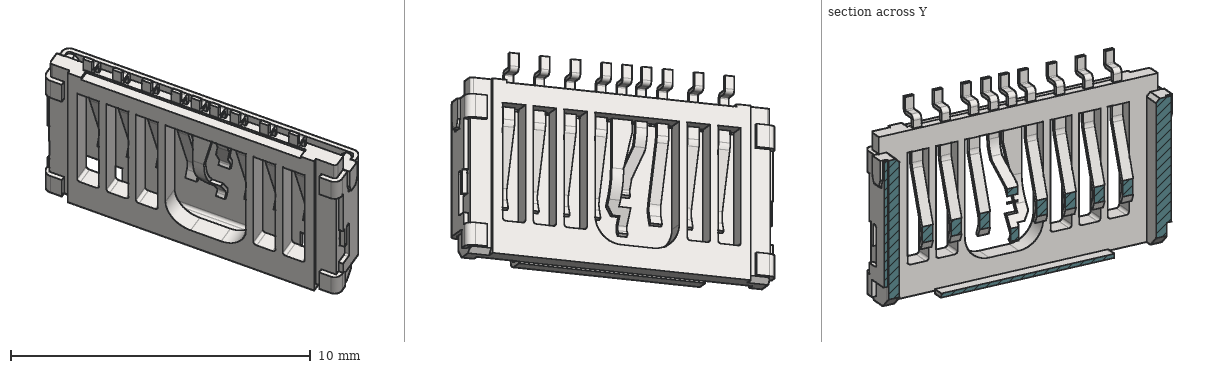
import cadquery as cq
import math


OVERALL_WIDTH = 11.24
OVERALL_DEPTH = 1.7
OVERALL_HEIGHT = 7.0

SHEET = 0.17
SHELL_WIDTH = 11.08
SHELL_INNER_BACK_Y = OVERALL_DEPTH - SHEET
SHELL_TOP = 5.44
SHELL_WALL_BOTTOM = 0.84
SHELL_INNER_RADIUS = 0.11
SHELL_OUTER_RADIUS = SHELL_INNER_RADIUS + SHEET
CLIP_INNER_X = 4.82
UPPER_CLIP_BOTTOM = 4.64
LOWER_CLIP_TOP = 0.98
LOWER_CLIP_BOTTOM = 0.2
LOWER_CLIP_DEPTH = 0.53
WALL_FRONT_Y = 0.35
LIP_WIDTH = 6.68
LIP_FRONT_Y = 0.92

LATCH_BACK_Y = 0.81
LATCH_BOTTOM = 1.39
LATCH_TOP = 2.91
TONGUE_FRONT_Y = 0.46
TONGUE_BACK_Y = 0.61
TONGUE_TIP = 2.09
LATCH_CORNER_RADIUS = 0.07
TONGUE_POCKET_FRONT_Y = 0.44
TONGUE_POCKET_DEPTH = 0.17

HOUSING_WIDTH = SHELL_WIDTH - 2 * SHEET
HOUSING_HEIGHT = 6.06
FLOOR_FRONT_Y = 0.03
FLOOR_BACK_Y = 0.71
PAD_WIDTH = 9.24
CLIP_SEAT_BEVEL = 0.2
TOP_STEP_WIDTH = 8.23
TOP_STEP_BACK_Y = 0.4
TOP_STEP_DEPTH = 0.09
RAIL_BACK_Y = 1.46
RAIL_INNER_X = 4.93
RAIL_CORNER_RADIUS = 0.21
RAIL_END_CHAMFER = 0.5
RAIL_LEAD_IN = 0.15

EAR_FRONT_Y = 0.7
EAR_BACK_Y = 1.23
EAR_TAPER_TOP = 4.72
EAR_BOTTOM = 4.46
EAR_TAPER = 0.1
EAR_ROOT = 0.11
EAR_SIDE_GAP = 0.02
EAR_END_GAP = 0.06

PITCH = 1.1
PLACE_COUNT = 8
WINDOW_TOP = 5.25
SLOT_WIDTH = 0.82
SLOT_BOTTOM = 1.16
SLOT_CORNER_RADIUS = 0.11
CENTRE_WINDOW_WIDTH = 3.01
CENTRE_WINDOW_BOTTOM = 0.75
CENTRE_WINDOW_RADIUS = 0.93

STRIP = 0.13
STRIP_Y = 0.57
ROOT_Z = 5.62
CONTACT_WIDTH = 0.42
LEAD_WIDTH = 0.33
LEAD_STEP_Z = 6.45
LEAD_BEND_RADIUS = 0.1
CONTACT_BEND_RADIUS = 0.65
CONTACT_BEND_Z = 4.72

CONTACT_CREST = (1.37, 2.44)
CONTACT_TIP = (1.17, 1.91)

DETECT_LEAD_X = 0.19
DETECT_BEND_Z = 3.01
DETECT_CREST = (1.42, 1.7)
DETECT_TIP = (1.25, 1.46)
DETECT_BEND_RADII = [1.8, 0.22]
DETECT_BLANK_WIDTH = 1.12

SWITCH_LEAD_X = 0.89
SWITCH_CREST = (1.46, 3.03)
SWITCH_TIP = (1.36, 2.84)
SWITCH_BEND_RADII = [1.29, 0.17]
SWITCH_BLANK_WIDTH = 1.35

PLACE_X = [(place - (PLACE_COUNT - 1) / 2) * PITCH for place in range(PLACE_COUNT)]
CONTACT_X = PLACE_X[:4] + PLACE_X[5:]
SLOT_X = PLACE_X[:3] + PLACE_X[6:]
CENTRE_WINDOW_X = PLACE_X[4]


def block(x_range, y_range, z_range):
    """Box from its lower and upper limit along each axis."""
    size = [hi - lo for lo, hi in (x_range, y_range, z_range)]
    corner = (x_range[0], y_range[0], z_range[0])
    return cq.Workplane("XY").box(*size, centered=False).translate(corner)


def wide_block(width, y_range, z_range):
    """Box centred on X = 0."""
    return block((-width / 2, width / 2), y_range, z_range)


def side_prism(points, width):
    """Prism with a (Y, Z) outline, centred on X = 0."""
    return cq.Workplane("YZ").polyline(points).close().extrude(width / 2, both=True)


def front_prism(points):
    """Prism with an (X, Z) outline, running through the whole depth."""
    return cq.Workplane("XZ").polyline(points).close().extrude(-OVERALL_DEPTH)


def bent_strip(points, radii, x, width):
    """Strip of metal along a (Y, Z) centreline with one bend radius per inner point."""
    path = cq.Workplane("YZ", origin=(x, 0, 0)).moveTo(*points[0])
    for before, corner, after, radius in zip(points, points[1:], points[2:], radii):
        heading_in = math.atan2(corner[1] - before[1], corner[0] - before[0])
        heading_out = math.atan2(after[1] - corner[1], after[0] - corner[0])
        turn = math.remainder(heading_out - heading_in, 2 * math.pi)
        reach = radius * math.tan(abs(turn) / 2)
        bend_start = (corner[0] - reach * math.cos(heading_in), corner[1] - reach * math.sin(heading_in))
        bend_end = (corner[0] + reach * math.cos(heading_out), corner[1] + reach * math.sin(heading_out))
        path = path.lineTo(*bend_start).tangentArcPoint(bend_end, relative=False)
    path = path.lineTo(*points[-1])
    section = cq.Workplane("XY", origin=(x, points[0][0], points[0][1])).rect(width, STRIP)
    return section.sweep(path)


def make_rails():
    """Side rails behind the floor, bevelled at the lip end and opened at the top."""
    rails = wide_block(HOUSING_WIDTH, (FLOOR_FRONT_Y, RAIL_BACK_Y), (0, SHELL_TOP))
    rails = rails.edges("|Z and >Y").fillet(RAIL_CORNER_RADIUS)
    bevel = [
        (RAIL_BACK_Y - RAIL_END_CHAMFER, 0),
        (RAIL_BACK_Y, RAIL_END_CHAMFER),
        (RAIL_BACK_Y, 0),
    ]
    rails = rails.cut(side_prism(bevel, HOUSING_WIDTH))
    lead_in_start = SHELL_TOP - RAIL_LEAD_IN
    channel = [
        (-RAIL_INNER_X, 0),
        (-RAIL_INNER_X, lead_in_start),
        (-RAIL_INNER_X - RAIL_LEAD_IN, SHELL_TOP),
        (RAIL_INNER_X + RAIL_LEAD_IN, SHELL_TOP),
        (RAIL_INNER_X, lead_in_start),
        (RAIL_INNER_X, 0),
    ]
    return rails.cut(front_prism(channel))


def ear_outline(side_gap, end_gap):
    """Tapered (Y, Z) outline of an ear, grown by a clearance."""
    front = EAR_FRONT_Y - side_gap
    back = EAR_BACK_Y + side_gap
    bottom = EAR_BOTTOM - end_gap
    return [
        (front, SHELL_TOP),
        (front, EAR_TAPER_TOP),
        (front + EAR_TAPER, bottom),
        (back - EAR_TAPER, bottom),
        (back, EAR_TAPER_TOP),
        (back, SHELL_TOP),
    ]


def make_ears():
    ears = side_prism(ear_outline(0, 0), OVERALL_WIDTH)
    return ears.cut(wide_block(HOUSING_WIDTH - 2 * EAR_ROOT, (0, OVERALL_DEPTH), (0, SHELL_TOP)))


def window_cutter(x, width, bottom, radius):
    """Floor window with rounded lower corners."""
    cutter = block((x - width / 2, x + width / 2), (0, FLOOR_BACK_Y), (bottom, WINDOW_TOP))
    return cutter.edges("|Y and <Z").fillet(radius)


def tongue_pocket_cutter():
    """Pocket in both housing sides that gives the shell tongues room to flex."""
    y_range = (TONGUE_POCKET_FRONT_Y, LATCH_BACK_Y)
    z_range = (TONGUE_TIP, LATCH_TOP)
    core = wide_block(HOUSING_WIDTH - 2 * TONGUE_POCKET_DEPTH, y_range, z_range)
    return wide_block(HOUSING_WIDTH, y_range, z_range).cut(core)


def make_housing():
    floor = wide_block(HOUSING_WIDTH, (SHEET, FLOOR_BACK_Y), (0, HOUSING_HEIGHT))
    floor = floor.edges("|Z and <Y").fillet(SHELL_INNER_RADIUS)
    sharp_band = wide_block(HOUSING_WIDTH, (SHEET, FLOOR_BACK_Y), (LOWER_CLIP_TOP, UPPER_CLIP_BOTTOM))
    floor = floor.union(sharp_band)
    bevel = [(SHEET, 0), (SHEET, CLIP_SEAT_BEVEL), (SHEET + CLIP_SEAT_BEVEL, 0)]
    floor = floor.cut(side_prism(bevel, HOUSING_WIDTH))
    pad = wide_block(PAD_WIDTH, (FLOOR_FRONT_Y, FLOOR_BACK_Y), (0, HOUSING_HEIGHT))
    rails = make_rails().cut(wide_block(HOUSING_WIDTH, (0, FLOOR_BACK_Y), (0, SHELL_TOP)))
    housing = floor.union(pad).union(rails).union(make_ears())
    top_step = wide_block(
        TOP_STEP_WIDTH, (0, TOP_STEP_BACK_Y), (HOUSING_HEIGHT - TOP_STEP_DEPTH, HOUSING_HEIGHT)
    )
    housing = housing.cut(top_step).cut(tongue_pocket_cutter())
    for x in SLOT_X:
        housing = housing.cut(window_cutter(x, SLOT_WIDTH, SLOT_BOTTOM, SLOT_CORNER_RADIUS))
    return housing.cut(
        window_cutter(CENTRE_WINDOW_X, CENTRE_WINDOW_WIDTH, CENTRE_WINDOW_BOTTOM, CENTRE_WINDOW_RADIUS)
    )


def latch_cutter():
    """Opening in both side walls: a notch below the tongue and gaps beside it."""
    upper_z = (LATCH_BOTTOM + LATCH_CORNER_RADIUS, LATCH_TOP)
    notch = wide_block(SHELL_WIDTH, (0, LATCH_BACK_Y), (LATCH_BOTTOM, TONGUE_TIP))
    notch = notch.edges("|X and >Y and <Z").fillet(LATCH_CORNER_RADIUS)
    slot = wide_block(SHELL_WIDTH, (TONGUE_BACK_Y, LATCH_BACK_Y), upper_z)
    slot = slot.edges("|X and >Z").fillet(LATCH_CORNER_RADIUS)
    relief = wide_block(SHELL_WIDTH, (0, TONGUE_FRONT_Y), upper_z)
    return notch.union(slot).union(relief)


def make_lip():
    """Tongue of the shell back, folded forward under the card space."""
    lip = wide_block(LIP_WIDTH, (LIP_FRONT_Y, OVERALL_DEPTH), (0, SHELL_WALL_BOTTOM))
    lip = lip.edges("|X and >Y and <Z").fillet(SHELL_OUTER_RADIUS)
    inside = wide_block(LIP_WIDTH, (LIP_FRONT_Y, SHELL_INNER_BACK_Y), (SHEET, SHELL_WALL_BOTTOM))
    return lip.cut(inside.edges("|X and >Y and <Z").fillet(SHELL_INNER_RADIUS))


def make_shell():
    outer = wide_block(SHELL_WIDTH, (0, OVERALL_DEPTH), (LOWER_CLIP_BOTTOM, SHELL_TOP))
    inner = wide_block(HOUSING_WIDTH, (SHEET, SHELL_INNER_BACK_Y), (LOWER_CLIP_BOTTOM, SHELL_TOP))
    shell = outer.edges("|Z").fillet(SHELL_OUTER_RADIUS)
    shell = shell.cut(inner.edges("|Z").fillet(SHELL_INNER_RADIUS))
    shell = shell.cut(wide_block(2 * CLIP_INNER_X, (0, SHEET), (0, SHELL_TOP)))
    shell = shell.cut(wide_block(SHELL_WIDTH, (0, WALL_FRONT_Y), (LOWER_CLIP_TOP, UPPER_CLIP_BOTTOM)))
    shell = shell.cut(wide_block(SHELL_WIDTH, (LOWER_CLIP_DEPTH, OVERALL_DEPTH), (0, SHELL_WALL_BOTTOM)))
    shell = shell.cut(latch_cutter())
    shell = shell.cut(side_prism(ear_outline(EAR_SIDE_GAP, EAR_END_GAP), SHELL_WIDTH))
    return shell.union(make_lip())


def make_lead(x):
    """Solder lead stepped forward to the mounting face."""
    foot_y = STRIP / 2
    points = [(STRIP_Y, ROOT_Z), (STRIP_Y, LEAD_STEP_Z), (foot_y, LEAD_STEP_Z), (foot_y, OVERALL_HEIGHT)]
    return bent_strip(points, [LEAD_BEND_RADIUS] * 2, x, LEAD_WIDTH)


def make_signal_contact(x):
    points = [(STRIP_Y, ROOT_Z), (STRIP_Y, CONTACT_BEND_Z), CONTACT_CREST, CONTACT_TIP]
    return bent_strip(points, [CONTACT_BEND_RADIUS] * 2, x, CONTACT_WIDTH)


def make_detect_contact():
    """Wide blade that narrows, bends back and jogs sideways to a thin finger."""
    points = [(STRIP_Y, ROOT_Z), (STRIP_Y, DETECT_BEND_Z), DETECT_CREST, DETECT_TIP]
    strip = bent_strip(points, DETECT_BEND_RADII, DETECT_LEAD_X, DETECT_BLANK_WIDTH)
    left = -0.17
    shank_right = 0.25
    finger_left = 0.34
    finger_right = 0.66
    blade_right = 0.55
    taper_top = 4.82
    taper_bottom = 3.54
    jog_top = 2.34
    jog_bottom = 2.07
    jog_bevel_right = 0.08
    outline = [
        (left, ROOT_Z),
        (left, jog_top),
        (jog_bevel_right, jog_bottom),
        (finger_left, jog_bottom),
        (finger_left, 0),
        (finger_right, 0),
        (finger_right, jog_top),
        (shank_right, jog_top),
        (shank_right, taper_bottom),
        (blade_right, taper_top),
        (blade_right, ROOT_Z),
    ]
    return strip.intersect(front_prism(outline))


def make_switch_contact():
    """Narrow blade that leans sideways while it bends back."""
    points = [(STRIP_Y, ROOT_Z), (STRIP_Y, CONTACT_BEND_Z), SWITCH_CREST, SWITCH_TIP]
    strip = bent_strip(points, SWITCH_BEND_RADII, SWITCH_LEAD_X, SWITCH_BLANK_WIDTH)
    root_left = SWITCH_LEAD_X - CONTACT_WIDTH / 2
    root_right = root_left + CONTACT_WIDTH
    tip_left = 0.38
    tip_right = tip_left + CONTACT_WIDTH
    lean_top = 4.42
    lean_bottom = 3.53
    edge_drop = 0.1
    outline = [
        (root_left, ROOT_Z),
        (root_left, lean_top),
        (tip_left, lean_bottom),
        (tip_left, 0),
        (tip_right, 0),
        (tip_right, lean_bottom - edge_drop),
        (root_right, lean_top - edge_drop),
        (root_right, ROOT_Z),
    ]
    return strip.intersect(front_prism(outline))


result = make_housing().union(make_shell())
for contact_x in CONTACT_X:
    result = result.union(make_signal_contact(contact_x))
for lead_x in CONTACT_X + [DETECT_LEAD_X, SWITCH_LEAD_X]:
    result = result.union(make_lead(lead_x))
result = result.union(make_detect_contact()).union(make_switch_contact())